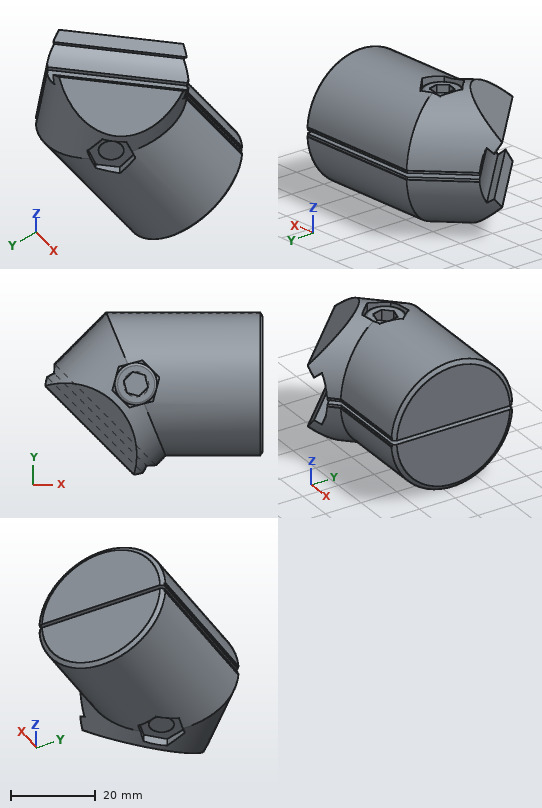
import cadquery as cq
import math

arm_radius = 17.0
bend_angle = 45.0
straight_length = 30.05
mouth_distance = 15.5
gap = 1.05

groove_width = 2.3
groove_depth = 0.25

end_chamfer_length = 0.65
end_chamfer_depth = 1.15

seat_depth = 10.25
seat_radius = 15.45
mouth_half_height = 8.25
bevel_angle = 45.0
lip_corner_distance = 13.7
lip_corner_height = 5.7
seat_edge_height = 6.95

shank_diameter = 6.0
across_flats = 10.0
pocket_floor = 9.8
head_top = 15.55
head_fillet = 0.6
socket_flats = 5.15
socket_depth = 3.0
nut_height = 5.0
pocket_turn = 15.0
socket_turn = 45.0

reach = 3 * arm_radius
mitre_angle = bend_angle / 2


def hexagon(flats, bottom, height, turn):
    corner_diameter = flats / math.cos(math.pi / 6)
    prism = cq.Workplane("XY").workplane(offset=bottom).polygon(6, corner_diameter).extrude(height)
    return prism.rotate((0, 0, 0), (0, 0, 1), turn)


def mitre_side(direction):
    """Half-space on the +X (1) or -X (-1) side of the mitre plane."""
    block = cq.Workplane("XY").box(reach, 2 * reach, reach).translate((direction * reach / 2, 0, 0))
    return block.rotate((0, 0, 0), (0, 0, 1), mitre_angle)


def flank_grooves():
    """Cutters for both flanks of an arm that lies along X."""
    strip = cq.Workplane("XY").box(2 * reach, arm_radius, groove_width)
    offset = arm_radius - groove_depth + arm_radius / 2
    return strip.translate((0, offset, 0)).union(strip.translate((0, -offset, 0)))


def straight_arm():
    chamfer_start = straight_length - end_chamfer_length
    end_radius = arm_radius - end_chamfer_depth
    profile = (
        cq.Workplane("XY")
        .moveTo(-arm_radius, 0)
        .lineTo(-arm_radius, arm_radius)
        .lineTo(chamfer_start, arm_radius)
        .lineTo(straight_length, end_radius)
        .lineTo(straight_length, 0)
        .close()
    )
    arm = profile.revolve(360, (0, 0, 0), (1, 0, 0))
    return arm.cut(flank_grooves()).intersect(mitre_side(1))


def cradle_cut():
    """Cradle outline extruded across an arm that points along -X."""
    seat_centre = seat_depth + seat_radius
    seat_edge = seat_centre - math.sqrt(seat_radius**2 - seat_edge_height**2)
    return (
        cq.Workplane("XZ")
        .moveTo(-mouth_distance, -mouth_half_height)
        .lineTo(-lip_corner_distance, -lip_corner_height)
        .lineTo(-seat_edge, -seat_edge_height)
        .threePointArc((-seat_depth, 0), (-seat_edge, seat_edge_height))
        .lineTo(-lip_corner_distance, lip_corner_height)
        .lineTo(-mouth_distance, mouth_half_height)
        .close()
        .extrude(reach, both=True)
    )


def bevelled_envelope():
    """Side outline of the angled arm, narrowing to its mouth."""
    bevel_rise = arm_radius - mouth_half_height
    bevel_back = mouth_distance - bevel_rise / math.tan(math.radians(bevel_angle))
    return (
        cq.Workplane("XZ")
        .moveTo(arm_radius, -arm_radius)
        .lineTo(-bevel_back, -arm_radius)
        .lineTo(-mouth_distance, -mouth_half_height)
        .lineTo(-mouth_distance, mouth_half_height)
        .lineTo(-bevel_back, arm_radius)
        .lineTo(arm_radius, arm_radius)
        .close()
        .extrude(reach, both=True)
    )


def angled_arm():
    arm = cq.Workplane("YZ").workplane(offset=-mouth_distance).circle(arm_radius)
    arm = arm.extrude(mouth_distance + arm_radius).intersect(bevelled_envelope())
    arm = arm.cut(cradle_cut()).cut(flank_grooves())
    return arm.rotate((0, 0, 0), (0, 0, 1), bend_angle).intersect(mitre_side(-1))


def clamp_half(elbow, side):
    """Upper (1) or lower (-1) half with its hexagonal pocket and screw hole."""
    keep = cq.Workplane("XY").box(2 * reach, 2 * reach, reach)
    keep = keep.translate((0, 0, side * (reach + gap) / 2))
    hole = cq.Workplane("XY").circle(shank_diameter / 2).extrude(side * reach)
    pocket = hexagon(across_flats, side * pocket_floor, side * reach, pocket_turn)
    return elbow.intersect(keep).cut(hole).cut(pocket)


def clamp_screw():
    head = cq.Workplane("XY").workplane(offset=pocket_floor).circle(across_flats / 2)
    head = head.extrude(head_top - pocket_floor).faces(">Z").edges().fillet(head_fillet)
    head = head.cut(hexagon(socket_flats, head_top - socket_depth, socket_depth, socket_turn))
    shank_end = -pocket_floor - nut_height
    shank = cq.Workplane("XY").workplane(offset=shank_end).circle(shank_diameter / 2)
    return head.union(shank.extrude(pocket_floor - shank_end))


def clamp_nut():
    nut = hexagon(across_flats, -pocket_floor - nut_height, nut_height, pocket_turn)
    return nut.cut(cq.Workplane("XY").circle(shank_diameter / 2).extrude(-reach))


elbow = straight_arm().union(angled_arm())
halves = [clamp_half(elbow, side) for side in (1, -1)]
screw = clamp_screw()
nut = clamp_nut()

result = cq.Compound.makeCompound([*[half.val() for half in halves], screw.val(), nut.val()])